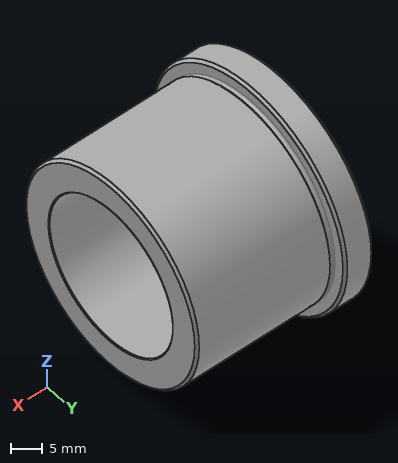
import cadquery as cq

total_length = 35.0
flange_length = 6.0
groove_width = 1.0

flange_diameter = 47.0
body_diameter = 42.0
bore_diameter = 30.0

edge_chamfer = 0.5
bore_chamfer = 0.2

flange_radius = flange_diameter / 2
body_radius = body_diameter / 2
bore_radius = bore_diameter / 2
groove_radius = groove_width / 2
groove_end = flange_length + groove_width


def make_bushing():
    """Revolve half of the section: X is axial, Y is the radius."""
    profile = (
        cq.Workplane("XY")
        .moveTo(0, bore_radius + bore_chamfer)
        .lineTo(0, flange_radius - edge_chamfer)
        .lineTo(edge_chamfer, flange_radius)
        .lineTo(flange_length - edge_chamfer, flange_radius)
        .lineTo(flange_length, flange_radius - edge_chamfer)
        .lineTo(flange_length, body_radius)
        .threePointArc(
            (flange_length + groove_radius, body_radius - groove_radius),
            (groove_end, body_radius),
        )
        .lineTo(total_length - edge_chamfer, body_radius)
        .lineTo(total_length, body_radius - edge_chamfer)
        .lineTo(total_length, bore_radius + bore_chamfer)
        .lineTo(total_length - bore_chamfer, bore_radius)
        .lineTo(bore_chamfer, bore_radius)
        .close()
    )
    return profile.revolve(360, (0, 0, 0), (1, 0, 0))


result = make_bushing()